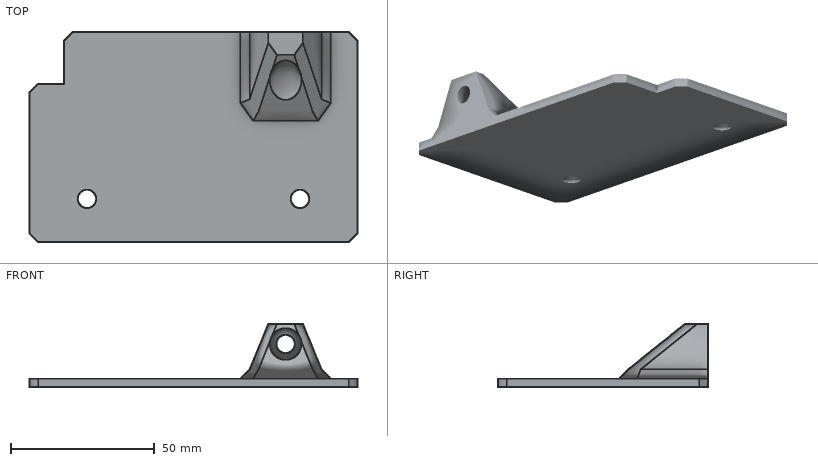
import cadquery as cq

PLATE_LENGTH = 114.0
PLATE_WIDTH = 73.0
PLATE_THICKNESS = 3.0
NOTCH_LENGTH = 12.0
NOTCH_WIDTH = 18.0
CORNER_CHAMFER = 3.0

HOLE_DIAMETER = 6.3
HOLE_INSET = 20.0
HOLE_Y = 15.0

TOTAL_HEIGHT = 22.0
BOSS_CENTER_X = 89.0
BOSS_TOP_HALF_WIDTH = 6.0
BOSS_TOP_DEPTH = 8.0
FOOT_HEIGHT = 3.2
FOOT_TOP_Z = PLATE_THICKNESS + FOOT_HEIGHT
FOOT_TOP_HALF_WIDTH = 12.5
FOOT_TOP_DEPTH = 27.7
FOOT_FLARE = FOOT_HEIGHT

FACET_TOP_WIDTH = 3.0
FACET_TOP_DEPTH = 4.2
FACET_FOOT_WIDTH = 3.1

BORE_Z = 15.0
BORE_DIAMETER = 6.3
COUNTERBORE_DIAMETER = 11.0
BORE_WALL = 3.0


def make_plate():
    """Plate with a notched back-left corner and every outer corner chamfered."""
    notch_y = PLATE_WIDTH - NOTCH_WIDTH
    c = CORNER_CHAMFER
    outline = [
        (c, 0),
        (PLATE_LENGTH - c, 0),
        (PLATE_LENGTH, c),
        (PLATE_LENGTH, PLATE_WIDTH - c),
        (PLATE_LENGTH - c, PLATE_WIDTH),
        (NOTCH_LENGTH + c, PLATE_WIDTH),
        (NOTCH_LENGTH, PLATE_WIDTH - c),
        (NOTCH_LENGTH, notch_y),
        (c, notch_y),
        (0, notch_y - c),
        (0, c),
    ]
    hole_centers = [(HOLE_INSET, HOLE_Y), (PLATE_LENGTH - HOLE_INSET, HOLE_Y)]
    plate = cq.Workplane("XY").polyline(outline).close().extrude(PLATE_THICKNESS)
    holes = cq.Workplane("XY").pushPoints(hole_centers).circle(HOLE_DIAMETER / 2).extrude(PLATE_THICKNESS)
    return plate.cut(holes)


def make_boss_body():
    """Common volume of the boss's width profile and its depth profile."""
    base_half_width = FOOT_TOP_HALF_WIDTH + FOOT_FLARE
    base_depth = FOOT_TOP_DEPTH + FOOT_FLARE
    left_side = [
        (-base_half_width, PLATE_THICKNESS),
        (-FOOT_TOP_HALF_WIDTH, FOOT_TOP_Z),
        (-BOSS_TOP_HALF_WIDTH, TOTAL_HEIGHT),
    ]
    right_side = [(-x, z) for x, z in reversed(left_side)]
    width_profile = [(BOSS_CENTER_X + x, z) for x, z in left_side + right_side]
    depth_profile = [
        (PLATE_WIDTH, PLATE_THICKNESS),
        (PLATE_WIDTH, TOTAL_HEIGHT),
        (PLATE_WIDTH - BOSS_TOP_DEPTH, TOTAL_HEIGHT),
        (PLATE_WIDTH - FOOT_TOP_DEPTH, FOOT_TOP_Z),
        (PLATE_WIDTH - base_depth, PLATE_THICKNESS),
    ]
    across = cq.Workplane("XZ", origin=(0, PLATE_WIDTH, 0)).polyline(width_profile).close().extrude(base_depth)
    along = (
        cq.Workplane("YZ", origin=(BOSS_CENTER_X, 0, 0))
        .polyline(depth_profile)
        .close()
        .extrude(base_half_width, both=True)
    )
    return across.intersect(along)


def corner_cutter(side):
    """Block whose face is the corner facet; side is -1 for the left corner and +1 for the right."""
    side_point = cq.Vector(
        BOSS_CENTER_X + side * BOSS_TOP_HALF_WIDTH,
        PLATE_WIDTH - BOSS_TOP_DEPTH + FACET_TOP_DEPTH,
        TOTAL_HEIGHT,
    )
    top_edge = cq.Vector(-side * FACET_TOP_WIDTH, -FACET_TOP_DEPTH, 0)
    front_foot_point = cq.Vector(
        BOSS_CENTER_X + side * (FOOT_TOP_HALF_WIDTH - FACET_FOOT_WIDTH),
        PLATE_WIDTH - FOOT_TOP_DEPTH,
        FOOT_TOP_Z,
    )
    outward = top_edge.cross(front_foot_point - side_point) * side
    facet = cq.Plane(origin=side_point, xDir=top_edge, normal=outward)
    reach = 2 * PLATE_WIDTH
    return cq.Workplane(facet).rect(reach, reach).extrude(reach)


def bore_cylinder(diameter, back_y):
    """Cylinder along the bore axis, running from back_y to the front edge of the plate."""
    start = cq.Workplane("XZ", origin=(BOSS_CENTER_X, back_y, BORE_Z))
    return start.circle(diameter / 2).extrude(back_y)


def make_boss():
    """Boss with faceted front corners and a counterbored hole."""
    boss = make_boss_body()
    for side in (-1, 1):
        boss = boss.cut(corner_cutter(side))
    boss = boss.cut(bore_cylinder(BORE_DIAMETER, PLATE_WIDTH))
    return boss.cut(bore_cylinder(COUNTERBORE_DIAMETER, PLATE_WIDTH - BORE_WALL))


result = make_plate().union(make_boss())